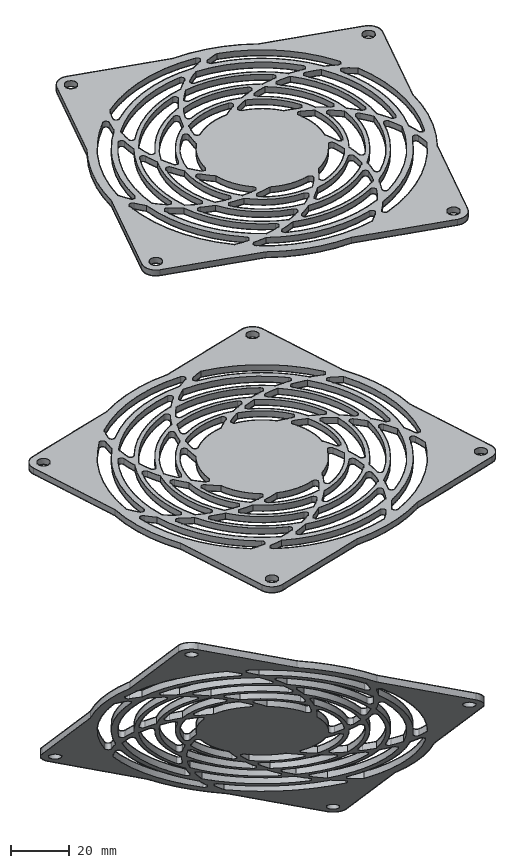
import cadquery as cq
import math

thickness = 2.5
plate_side = 115.0
corner_radius = 5.0
rim_radius = 59.4

hole_spacing = 105.0
hole_diameter = 4.5

hub_radius = 22.5
inner_ring_count = 4
ring_pitch = 7.0
ring_rib_width = 1.5
first_slot_outer_radius = 27.9
outer_slot_inner_radius = 51.2
outer_slot_outer_radius = 56.0

spoke_count = 7
spoke_width = 1.8
spoke_radius = 43.4
spoke_centre_distance = 29.5
spoke_centre_angle = -22.5
slot_tip_fillet = 1.2

spoke_step = 360 / spoke_count
convex_radius = spoke_radius + spoke_width / 2
concave_radius = spoke_radius - spoke_width / 2


def polar(radius, degrees):
    angle = math.radians(degrees)
    return (radius * math.cos(angle), radius * math.sin(angle))


def spoke_angle(radius, side_radius):
    """Angle at which one side of the first spoke crosses a circle around the hub."""
    cosine = (radius**2 + spoke_centre_distance**2 - side_radius**2) / (2 * radius * spoke_centre_distance)
    return spoke_centre_angle + math.degrees(math.acos(cosine))


def make_slot(inner, outer):
    """Arc-shaped slot between two neighbouring spokes, rounded at its two sharp tips."""
    middle = (inner + outer) / 2

    def start(radius):
        return spoke_angle(radius, convex_radius)

    def end(radius):
        return spoke_angle(radius, concave_radius) + spoke_step

    outer_tip = polar(outer, start(outer))
    inner_tip = polar(inner, end(inner))
    slot = (
        cq.Workplane("XY")
        .moveTo(*outer_tip)
        .threePointArc(polar(outer, (start(outer) + end(outer)) / 2), polar(outer, end(outer)))
        .threePointArc(polar(middle, end(middle)), inner_tip)
        .threePointArc(polar(inner, (start(inner) + end(inner)) / 2), polar(inner, start(inner)))
        .threePointArc(polar(middle, start(middle)), outer_tip)
        .close()
        .extrude(thickness)
    )
    for tip in (outer_tip, inner_tip):
        slot = slot.edges(cq.selectors.NearestToPointSelector((*tip, thickness / 2))).fillet(slot_tip_fillet)
    return slot


def make_plate():
    square = cq.Workplane("XY").rect(plate_side, plate_side).extrude(thickness)
    square = square.edges("|Z").fillet(corner_radius)
    rim = cq.Workplane("XY").circle(rim_radius).extrude(thickness)
    holes = (
        cq.Workplane("XY")
        .rect(hole_spacing, hole_spacing, forConstruction=True)
        .vertices()
        .circle(hole_diameter / 2)
        .extrude(thickness)
    )
    return square.union(rim).cut(holes)


slot_rings = [(hub_radius, first_slot_outer_radius)]
for _ in range(inner_ring_count - 1):
    previous_outer = slot_rings[-1][1]
    slot_rings.append((previous_outer + ring_rib_width, previous_outer + ring_pitch))
slot_rings.append((outer_slot_inner_radius, outer_slot_outer_radius))

result = make_plate()
for inner_radius, outer_radius in slot_rings:
    slot = make_slot(inner_radius, outer_radius)
    for spoke in range(spoke_count):
        result = result.cut(slot.rotate((0, 0, 0), (0, 0, 1), spoke * spoke_step))